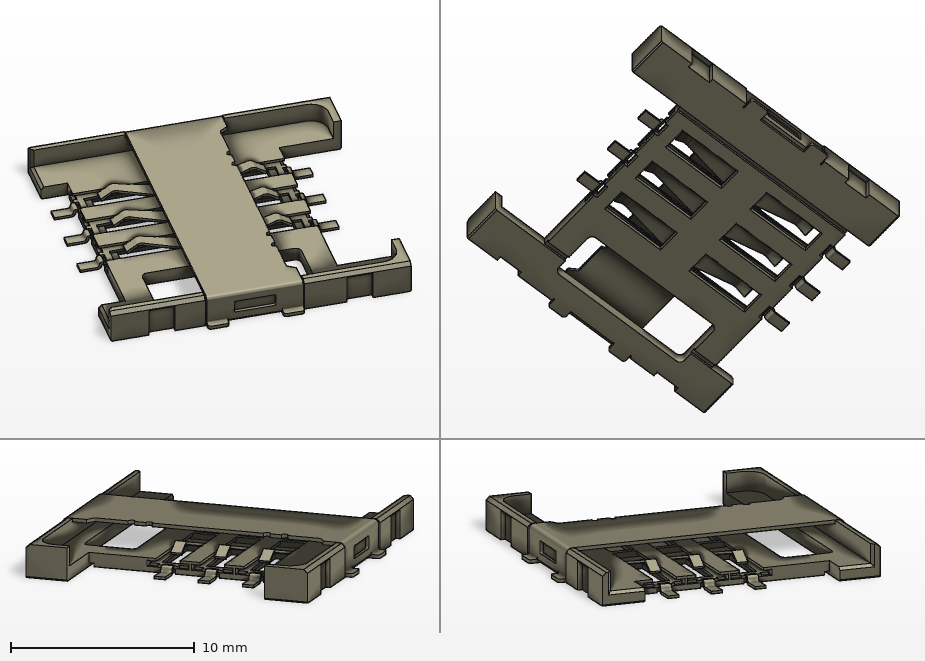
import cadquery as cq
import math

width = 16.28
length = 17.0
height = 1.9
floor_top = 0.79
plate_front = -7.0
plate_rear = 5.0
arm_gap = 11.42
arm_gap_shift = 0.05
side_wall = 0.51
rear_wall = 0.45
cavity_radius = 1.0
edge_chamfer = 0.2
mouth_chamfer = 0.17
bottom_chamfer = 0.09
groove_width = 0.29
groove_height = 0.2

bay_inner_y = 4.85
bay_length = 1.49
bay_height = 1.65
bay_depth = 0.27

window_left = 3.59
window_right = 6.63
window_front = -5.49
window_rear = 3.5
window_radius = 0.35

sheet = 0.2
cover_shift = 0.07
cover_radius = 0.29
cover_front = -3.08
cover_rear = 2.38
cover_middle_rear = 1.9
cover_gap = 0.07
horn_inner_x = 6.53
horn_outer_x = 6.84
horn_radius = 0.17
notch_width = 0.36
notch_depth = 0.22
notch_places = (3.4, 4.43)
latch_front = -1.52
latch_rear = 0.82
latch_bottom = 0.63
latch_top = 1.35
latch_radius = 0.1
foot_length = 1.18
foot_reach = 8.55
foot_bend = 0.12
foot_corner = 0.17

column_pitch = 2.55
column_middle = -1.37
columns = [column_middle + step * column_pitch for step in (-1, 0, 1)]
row_middle = (plate_front + plate_rear) / 2
plate_half = (plate_rear - plate_front) / 2
strip = 0.15
seat = 2 * strip
frame_width = 2.22
frame_inner = 0.17
frame_outer = 5.78
opening_inner = 1.03
opening_outer = 5.42
opening_inner_width = 1.37
opening_outer_width = 1.06
beam_root = 0.85
beam_root_width = 1.06
beam_tip = 4.72
beam_tip_width = 0.63
beam_tip_top = 0.85
tip_cut_back = 0.09
tip_cut_drop = 0.14
dome_start = (3.66, 1.25)
dome_peak = (3.92, 1.3)
dome_end = (4.15, 1.2)
neck_width = 1.16
neck_end = 6.02
slit_outer = 5.97
tail_width = 0.65
tail_bend_start = 6.09
tail_end = 7.32

slot_width = 1.4
pocket_width = 2.41
pocket_top = 0.63
floor_opening_outer = 5.0
tail_notch_width = 0.85


def block(x0, x1, y0, y1, z0, z1):
    """Box between two opposite corners."""
    return cq.Workplane("XY").box(x1 - x0, y1 - y0, z1 - z0, centered=False).translate((x0, y0, z0))


def centred_block(block_width, y0, y1, z0, z1):
    """Box that is symmetric about the YZ plane."""
    return block(-block_width / 2, block_width / 2, y0, y1, z0, z1)


def placed(shape, column, side):
    """Move a contact-related shape to its column; side is 1 for the rear row, -1 for the front row."""
    turn = 0 if side > 0 else 180
    return shape.rotate((0, 0, 0), (0, 0, 1), turn).translate((column, row_middle, 0))


def make_tray():
    half_length = length / 2
    tray = centred_block(width, -half_length, half_length, 0, height)
    for y0, y1 in ((-half_length, plate_front), (plate_rear, half_length)):
        gap = centred_block(arm_gap, y0, y1, 0, height)
        tray = tray.cut(gap.translate((arm_gap_shift, 0, 0)))

    cavity_width = width - 2 * side_wall
    cavity = centred_block(cavity_width, -half_length, half_length - rear_wall, floor_top, height)
    cavity = cavity.edges("|Z and >Y").fillet(cavity_radius)
    tray = tray.cut(cavity)

    tray = tray.faces(">Z").edges("<X or >X").chamfer(edge_chamfer)
    tray = tray.faces("<Y").edges("<Z").chamfer(bottom_chamfer)
    tray = tray.faces(">Y").edges("<Z").chamfer(bottom_chamfer)
    mouth = cq.selectors.BoxSelector(
        (-cavity_width / 2 - mouth_chamfer, -half_length - mouth_chamfer, floor_top - mouth_chamfer),
        (cavity_width / 2 + mouth_chamfer, -half_length + mouth_chamfer, height - mouth_chamfer),
    )
    return tray.edges(mouth).chamfer(mouth_chamfer)


def cut_grooves_bays_and_window(tray):
    for side in (-1, 1):
        outer = arm_gap_shift + side * arm_gap / 2
        inner = outer - side * groove_width
        tray = tray.cut(block(min(inner, outer), max(inner, outer), -length, length, 0, groove_height))
        for end in (-1, 1):
            bay = cq.Workplane("XY").box(2 * bay_depth, bay_length, 2 * bay_height)
            bay_y = end * (bay_inner_y + bay_length / 2)
            tray = tray.cut(bay.translate((side * width / 2, bay_y, 0)))
    window = block(window_left, window_right, window_front, window_rear, 0, floor_top)
    return tray.cut(window.edges("|Z").fillet(window_radius))


def make_contact_seat():
    """Everything one contact needs removed from the floor, along +Y from the row middle."""
    slot = centred_block(slot_width, frame_inner, plate_half, seat, floor_top)
    pocket = centred_block(pocket_width, frame_inner, plate_half, seat, pocket_top)
    opening = centred_block(slot_width, opening_inner, floor_opening_outer, 0, seat)
    tail_notch = centred_block(tail_notch_width, frame_outer, plate_half, 0, seat)
    return slot.union(pocket).union(opening).union(tail_notch)


def make_cover_recess():
    """Space in the tray for the cover, leaving the tray walls standing inside it."""
    space = centred_block(2 * foot_reach, cover_front - cover_gap, cover_rear + cover_gap, 0, height)
    core_width = width - 2 * sheet
    core = centred_block(core_width, cover_front - cover_gap, cover_rear + cover_gap, 0, height - sheet)
    return space.cut(core.translate((cover_shift, 0, 0)))


def make_cover():
    shell = centred_block(width, cover_front, cover_rear, sheet, height)
    shell = shell.faces(">Z").edges("|Y").fillet(cover_radius)
    inside = centred_block(width - 2 * sheet, cover_front, cover_rear, 0, height - sheet)
    shell = shell.cut(inside).translate((cover_shift, 0, 0))

    set_back = (
        cq.Workplane("XY")
        .polyline([
            (-horn_outer_x, cover_rear),
            (-horn_inner_x, cover_middle_rear),
            (horn_inner_x, cover_middle_rear),
            (horn_outer_x, cover_rear),
        ])
        .close()
        .extrude(2 * height)
    )
    set_back = set_back.edges("|Z and <Y").fillet(horn_radius)
    notches = (
        cq.Workplane("XY")
        .pushPoints([(side * x, cover_middle_rear) for side in (-1, 1) for x in notch_places])
        .slot2D(2 * notch_depth, notch_width, 90)
        .extrude(2 * height)
    )
    shell = shell.cut(set_back).cut(notches)

    latch = centred_block(2 * foot_reach, latch_front, latch_rear, latch_bottom, latch_top)
    return shell.cut(latch.edges("|X").fillet(latch_radius))


def make_foot(side):
    """Solder foot bent outwards from a side wall, starting at y = 0."""
    outer_x = width / 2 + side * cover_shift
    inner_x = outer_x - sheet
    foot = (
        cq.Workplane("XZ")
        .moveTo(inner_x, 0)
        .lineTo(foot_reach, 0)
        .lineTo(foot_reach, sheet)
        .lineTo(outer_x + foot_bend, sheet)
        .radiusArc((outer_x, sheet + foot_bend), foot_bend)
        .lineTo(inner_x, sheet + foot_bend)
        .close()
        .extrude(-foot_length)
    )
    foot = foot.edges("|Z and >X").fillet(foot_corner)
    return foot if side > 0 else foot.mirror("YZ")


def make_housing():
    body = cut_grooves_bays_and_window(make_tray())
    seat_cut = make_contact_seat()
    for column in columns:
        for side in (-1, 1):
            body = body.cut(placed(seat_cut, column, side))
    body = body.cut(make_cover_recess()).union(make_cover())
    for side in (-1, 1):
        for foot_y in (cover_front, cover_rear - foot_length):
            body = body.union(make_foot(side).translate((0, foot_y, 0)))
    return body


def make_frame():
    """Flat frame of a contact, with an opening that widens towards the beam root."""
    top = seat + strip
    opening = (
        cq.Workplane("XY")
        .polyline([
            (-opening_inner_width / 2, opening_inner),
            (opening_inner_width / 2, opening_inner),
            (opening_outer_width / 2, opening_outer),
            (-opening_outer_width / 2, opening_outer),
        ])
        .close()
        .extrude(top)
    )
    return centred_block(frame_width, frame_inner, frame_outer, seat, top).cut(opening)


def make_beam():
    """Spring beam that rises to a dome and dips at its free tip, tapering in width."""
    top = seat + strip
    profile = (
        cq.Workplane("YZ")
        .moveTo(beam_root, top)
        .lineTo(*dome_start)
        .threePointArc(dome_peak, dome_end)
        .lineTo(beam_tip, beam_tip_top)
        .lineTo(beam_tip - tip_cut_back, beam_tip_top - tip_cut_drop)
        .lineTo(dome_end[0], dome_end[1] - strip)
        .threePointArc((dome_peak[0], dome_peak[1] - strip), (dome_start[0], dome_start[1] - strip))
        .lineTo(beam_root, seat)
        .close()
        .extrude(beam_root_width / 2, both=True)
    )
    taper = (
        cq.Workplane("XY")
        .polyline([
            (-beam_root_width / 2, beam_root),
            (beam_root_width / 2, beam_root),
            (beam_tip_width / 2, dome_end[0]),
            (beam_tip_width / 2, beam_tip),
            (-beam_tip_width / 2, beam_tip),
            (-beam_tip_width / 2, dome_end[0]),
        ])
        .close()
        .extrude(height)
    )
    return profile.intersect(taper)


def make_tail():
    """Slit neck, then the tail with two quarter bends, each pivoting on the strip's inner corner."""
    top = seat + strip
    bend_end = tail_bend_start + seat
    diagonal = math.sqrt(0.5)
    neck = centred_block(neck_width, frame_outer, neck_end, seat, top)
    slit = centred_block(tail_width, frame_outer, slit_outer, seat, top)
    step = (
        cq.Workplane("YZ")
        .moveTo(slit_outer, top)
        .lineTo(tail_bend_start, top)
        .threePointArc(
            (tail_bend_start + strip * diagonal, seat + strip * diagonal),
            (tail_bend_start + strip, seat),
        )
        .threePointArc(
            (bend_end - strip * diagonal, seat - strip * diagonal),
            (bend_end, strip),
        )
        .lineTo(tail_end, strip)
        .lineTo(tail_end, 0)
        .lineTo(bend_end, 0)
        .threePointArc(
            (bend_end - seat * diagonal, seat - seat * diagonal),
            (tail_bend_start, seat),
        )
        .lineTo(slit_outer, seat)
        .close()
        .extrude(tail_width / 2, both=True)
    )
    return neck.cut(slit).union(step)


def make_contact():
    return make_frame().union(make_beam()).union(make_tail())


housing = make_housing()
contact = make_contact()
contacts = [placed(contact, column, side) for column in columns for side in (-1, 1)]

result = cq.Compound.makeCompound([housing.solids().val(), *[body.solids().val() for body in contacts]])